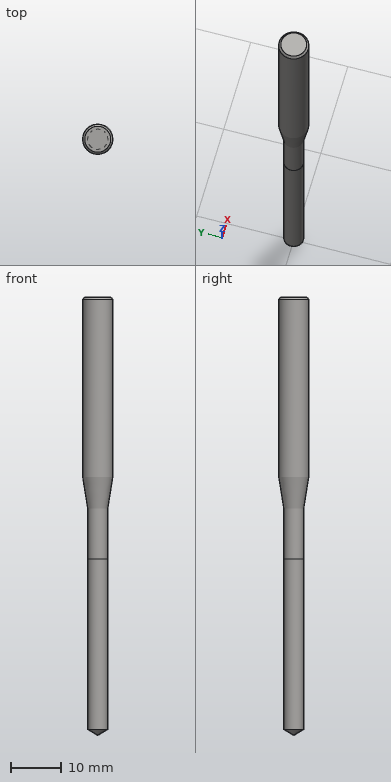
import cadquery as cq
import math

total_length = 87.0
shank_diameter = 6.0
drill_diameter = 4.0
point_angle = 118.0
flute_top = 35.0
neck_top = 45.0
taper_top = 51.2
end_chamfer = 0.4

shank_radius = shank_diameter / 2
drill_radius = drill_diameter / 2
point_height = drill_radius / math.tan(math.radians(point_angle / 2))


def revolve_profile(points):
    """Turn a closed half-profile of (radius, height) points about the Z axis."""
    return cq.Workplane("XZ").polyline(points).close().revolve(360, (0, 0), (0, 1))


def make_cutting_body():
    """Cylindrical cutting length with a conical point."""
    return revolve_profile([
        (0, 0),
        (drill_radius, point_height),
        (drill_radius, flute_top),
        (0, flute_top),
    ])


def make_shank_body():
    """Neck, taper and chamfered shank above the cutting length."""
    return revolve_profile([
        (0, flute_top),
        (drill_radius, flute_top),
        (drill_radius, neck_top),
        (shank_radius, taper_top),
        (shank_radius, total_length - end_chamfer),
        (shank_radius - end_chamfer, total_length),
        (0, total_length),
    ])


cutting_body = make_cutting_body()
shank_body = make_shank_body()

result = cq.Compound.makeCompound([cutting_body.val(), shank_body.val()])